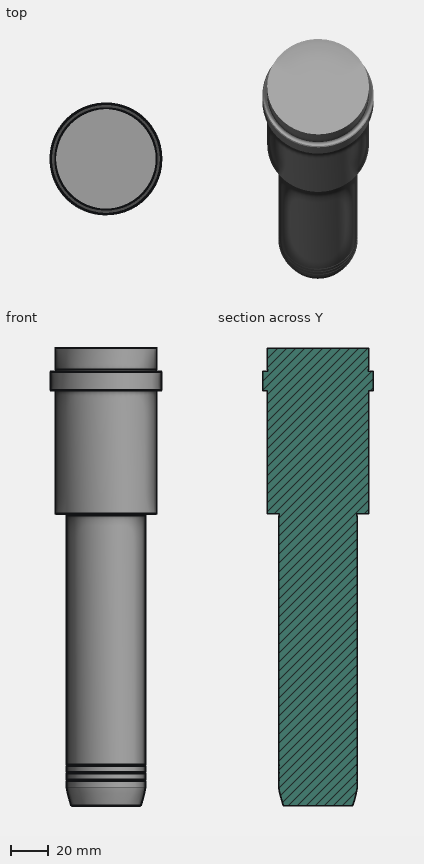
import cadquery as cq

height = 243.0
sleeve_bottom = 154.8
collar_bottom = 220.2
collar_height = 10.5
collar_top = collar_bottom + collar_height

collar_diameter = 59.0
head_diameter = 54.0
shaft_diameter = 42.0
tip_diameter = 37.0

collar_chamfer = 0.5
sleeve_chamfer = 0.5
neck_height = 1.0
neck_depth = 0.2

nose_height = 10.0
nose_bulge = 0.2
tip_chamfer = 0.5

groove_count = 3
groove_span = 8.0
groove_pitch = groove_span / (groove_count - 1)
groove_width = 1.0
groove_depth = 0.2
first_groove_height = 13.5


def cylinder(diameter, bottom, top):
    return cq.Workplane("XY").workplane(offset=bottom).circle(diameter / 2).extrude(top - bottom)


def ring_cut(diameter, depth, bottom, width):
    """Ring that cuts a square groove into a cylinder of the given diameter."""
    outer = cylinder(diameter + depth, bottom, bottom + width)
    return outer.cut(cylinder(diameter - 2 * depth, bottom, bottom + width))


def v_groove(middle_height):
    """V-shaped ring groove in the shaft, centred at the given height."""
    shaft_radius = shaft_diameter / 2
    overshoot = 2
    mouth_radius = shaft_radius + (overshoot - 1) * groove_depth
    mouth_half_width = overshoot * groove_width / 2
    return (
        cq.Workplane("XZ")
        .moveTo(shaft_radius - groove_depth, middle_height)
        .lineTo(mouth_radius, middle_height - mouth_half_width)
        .lineTo(mouth_radius, middle_height + mouth_half_width)
        .close()
        .revolve(360, (0, 0, 0), (0, 1, 0))
    )


def shaft():
    """Long shaft with a slightly convex, tapered nose."""
    tip_radius = tip_diameter / 2
    shaft_radius = shaft_diameter / 2
    nose_middle = ((tip_radius + shaft_radius) / 2 + nose_bulge, nose_height / 2)
    return (
        cq.Workplane("XZ")
        .lineTo(tip_radius, 0)
        .threePointArc(nose_middle, (shaft_radius, nose_height))
        .lineTo(shaft_radius, sleeve_bottom)
        .lineTo(0, sleeve_bottom)
        .close()
        .revolve(360, (0, 0, 0), (0, 1, 0))
        .faces("<Z")
        .chamfer(tip_chamfer)
    )


head = cylinder(head_diameter, sleeve_bottom, height).faces("<Z").chamfer(sleeve_chamfer)
head = head.cut(ring_cut(head_diameter, neck_depth, collar_top, neck_height))
collar = cylinder(collar_diameter, collar_bottom, collar_top).edges().chamfer(collar_chamfer)

shaft_neck = ring_cut(shaft_diameter, neck_depth, sleeve_bottom - neck_height, neck_height)
result = shaft().cut(shaft_neck).union(head).union(collar)

for index in range(groove_count):
    result = result.cut(v_groove(first_groove_height + index * groove_pitch))